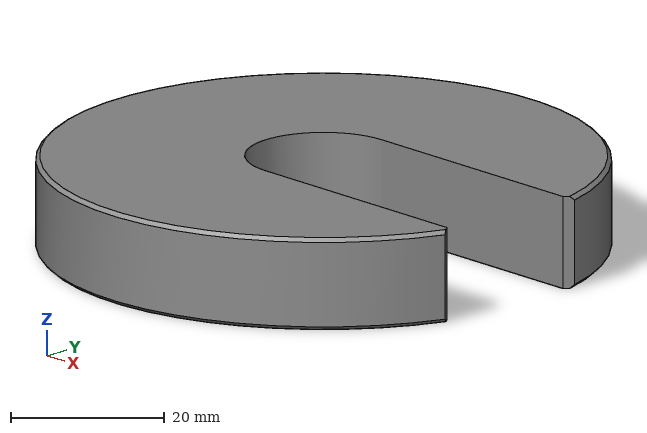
import cadquery as cq

disc_diameter = 74.9
thickness = 12.5
slot_width = 20.5
rim_chamfer = 0.5
mouth_chamfer = 1.3

disc_radius = disc_diameter / 2
slot_radius = slot_width / 2


def make_slot():
    """Open slot along +X with a round end centred on the disc axis."""
    return (
        cq.Workplane("XY")
        .moveTo(disc_diameter, slot_radius)
        .lineTo(0, slot_radius)
        .threePointArc((-slot_radius, 0), (0, -slot_radius))
        .lineTo(disc_diameter, -slot_radius)
        .close()
        .extrude(thickness)
    )


disc = cq.Workplane("XY").circle(disc_radius).extrude(thickness)
slotted_disc = disc.cut(make_slot())

slotted_disc = slotted_disc.edges("|Z and >X").chamfer(mouth_chamfer)

outer_rim = cq.selectors.RadiusNthSelector(-1)
result = slotted_disc.faces("<Z or >Z").edges(outer_rim).chamfer(rim_chamfer)